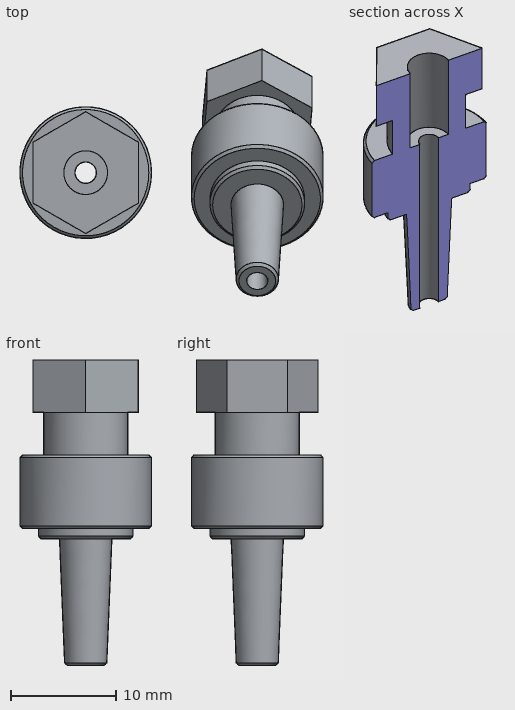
import cadquery as cq

total_height = 29.0
head_bottom = 24.0
collar_top = 19.98
collar_bottom = 13.0
step_bottom = 12.0

head_across_flats = 10.0
neck_diameter = 8.0
collar_diameter = 12.5
step_diameter = 9.0
nozzle_root_diameter = 5.0
nozzle_tip_diameter = 4.0
edge_chamfer = 0.25

socket_diameter = 4.15
bore_diameter = 2.0
socket_floor = collar_top


def cylinder(diameter, bottom, top):
    """Upright cylinder on the Z axis between two heights."""
    return cq.Workplane("XY").workplane(offset=bottom).circle(diameter / 2).extrude(top - bottom)


def hex_head():
    """Hexagon with flats facing +X and -X and corners on the Y axis."""
    return (
        cq.Workplane("XY")
        .workplane(offset=head_bottom)
        .polygon(6, head_across_flats, circumscribed=True)
        .extrude(total_height - head_bottom)
    )


def collar():
    """Wide ring, chamfered on both rims."""
    return cylinder(collar_diameter, collar_bottom, collar_top).edges("%CIRCLE").chamfer(edge_chamfer)


def step():
    """Shallow step below the collar, chamfered on its lower rim."""
    return cylinder(step_diameter, step_bottom, collar_bottom).edges("<Z").chamfer(edge_chamfer)


def nozzle():
    """Tapered nozzle narrowing downwards, chamfered at the tip."""
    cone = (
        cq.Workplane("XY")
        .circle(nozzle_tip_diameter / 2)
        .workplane(offset=step_bottom)
        .circle(nozzle_root_diameter / 2)
        .loft(ruled=True)
    )
    return cone.edges("<Z").chamfer(edge_chamfer)


neck = cylinder(neck_diameter, collar_top, head_bottom)
outside = nozzle().union(step()).union(collar()).union(neck).union(hex_head())

bore = cylinder(bore_diameter, 0, total_height)
socket = cylinder(socket_diameter, socket_floor, total_height)

result = outside.cut(bore).cut(socket)